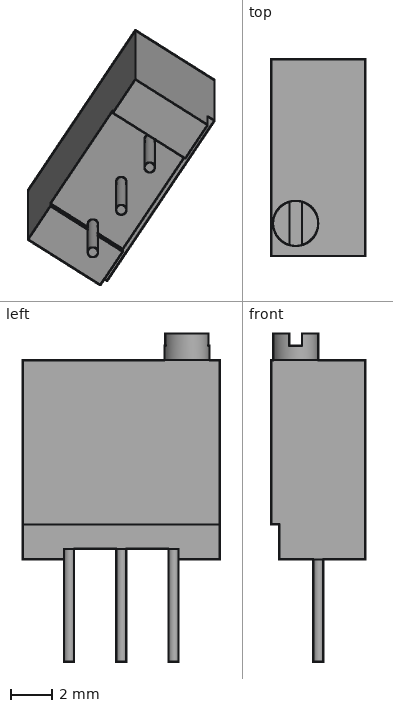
import cadquery as cq

body_thickness = 4.6
body_width = 9.6
body_height = 9.7

step_depth = 0.4
step_height = 1.7

pin_diameter = 0.5
pin_pitch = 2.54
pin_length = 5.0
pin_offsets = [-pin_pitch, 0, pin_pitch]

notch_width = 2 * pin_pitch + pin_diameter
notch_height = 0.5

screw_diameter = 2.2
screw_height = 1.3
screw_x = -body_thickness / 2 + 1.2
screw_y = -body_width / 2 + 1.6
slot_width = 0.6
slot_depth = 0.6


def block(size_x, size_y, size_z, center_x, center_y, bottom_z):
    """Box placed by the centre of its bottom face."""
    return (
        cq.Workplane("XY", origin=(center_x, center_y, bottom_z))
        .box(size_x, size_y, size_z, centered=(True, True, False))
    )


def make_housing():
    housing = block(body_thickness, body_width, body_height, 0, 0, 0)
    step_x = -body_thickness / 2 + step_depth / 2
    step = block(step_depth, body_width, step_height, step_x, 0, 0)
    notch = block(body_thickness, notch_width, notch_height, 0, 0, 0)
    return housing.cut(step).cut(notch)


def make_screw():
    screw = (
        cq.Workplane("XY", origin=(screw_x, screw_y, body_height))
        .circle(screw_diameter / 2)
        .extrude(screw_height)
    )
    slot_bottom = body_height + screw_height - slot_depth
    slot = block(slot_width, screw_diameter, slot_depth, screw_x, screw_y, slot_bottom)
    return screw.cut(slot)


def make_pins():
    return (
        cq.Workplane("XY", origin=(0, 0, -pin_length))
        .pushPoints([(0, offset) for offset in pin_offsets])
        .circle(pin_diameter / 2)
        .extrude(pin_length + notch_height)
    )


result = make_housing().union(make_screw()).union(make_pins())